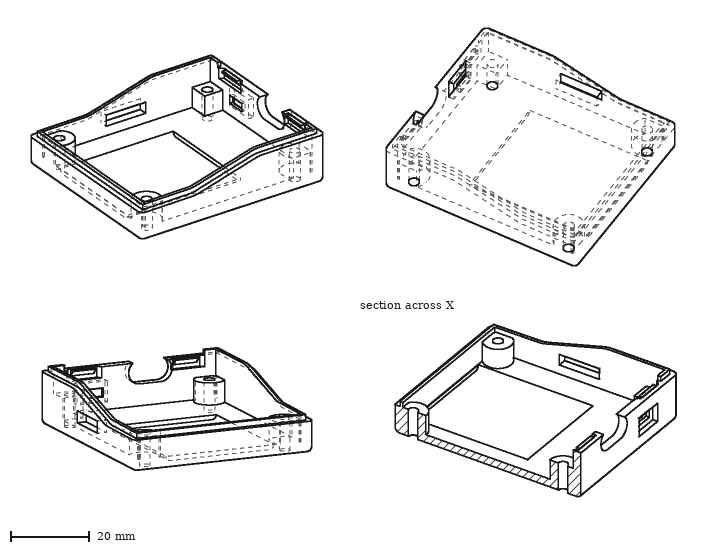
import cadquery as cq

width = 50.5
length = 56.9
back_rim_height = 13.8
lip_height = 1.4
edge_radius = 1.5

wall = 2.5
lip_inset = 1.55
floor_thickness = 2.5

front_rim_height = 8.25
slope_foot_height = 8.4
slope_top_y = 8.0
slope_foot_y = -11.5
bend_radius = 8.55

hole_diameter = 2.8
post_diameter = 8.0
post_top = 8.3
post_x = 19.6
post_y = 22.85
square_post_size = 5.65

bay_x_min = -15.0
bay_x_max = 15.2
bay_y_max = 9.15
bay_y_min = -25.75
bay_depth = 1.2

notch_x_left = 1.55
notch_x_right = 7.4
notch_radius = 3.1
notch_z = 11.4

pocket_bottom = 10.9
pocket_depth = 1.15
pocket_length = 8.1
pocket_flare = 0.9
catch_length = 6.5
catch_bottom = 12.0
catch_nose_z = 13.4
catch_top = 13.7
catch_chamfer = 0.2
catch_overhang = 0.15
left_catch_x = -14.1
right_catch_x = 14.75
lip_gap_left_x = -19.5
lip_gap_right_x = 19.75

back_window_x = -11.45
back_window_length = 5.4
back_window_bottom = 5.85
back_window_height = 2.35
back_window_web = 1.0
plug_recess_margin = 1.6
side_slot_y = -0.1
side_slot_length = 12.2
side_slot_bottom = 5.25
side_slot_height = 3.2

half_width = width / 2
half_length = length / 2
cavity_x = half_width - wall
cavity_y = half_length - wall


def box(x_min, x_max, y_min, y_max, z_min, z_max):
    """Axis-aligned box between two corners."""
    size = (x_max - x_min, y_max - y_min, z_max - z_min)
    return cq.Workplane("XY").box(*size, centered=False).translate((x_min, y_min, z_min))


def below_rim(raise_by):
    """Everything below the curved rim line, lifted by the given height."""
    profile = [
        (-half_length, 0),
        (half_length, 0),
        (half_length, back_rim_height + raise_by),
        (slope_top_y, back_rim_height + raise_by),
        (slope_foot_y, slope_foot_height + raise_by),
        (-half_length, front_rim_height + raise_by),
    ]
    solid = cq.Workplane("YZ").polyline(profile).close().extrude(half_width, both=True)
    margin = lip_height
    bends = cq.selectors.BoxSelector(
        (-width, slope_foot_y - margin, 0),
        (width, slope_top_y + margin, back_rim_height + raise_by + margin),
    )
    return solid.edges("|X").edges(bends).fillet(bend_radius)


def make_shell():
    """Rounded tray with a stepped lip, still without posts or openings."""
    full_height = back_rim_height + lip_height
    block = cq.Workplane("XY").rect(width, length).extrude(full_height)
    block = block.edges("|Z").fillet(edge_radius)
    block = block.faces("<Z").edges().fillet(edge_radius)
    outer = block.intersect(below_rim(0))

    lip_x = half_width - lip_inset
    lip_y = half_length - lip_inset
    lip = box(-lip_x, lip_x, -lip_y, lip_y, edge_radius, full_height)
    lip = lip.intersect(below_rim(lip_height))
    back_gap = box(
        lip_gap_left_x, lip_gap_right_x,
        cavity_y, half_length,
        back_rim_height, full_height,
    )

    cavity = box(-cavity_x, cavity_x, -cavity_y, cavity_y, floor_thickness, full_height)
    return outer.union(lip.cut(back_gap)).cut(cavity)


def make_posts():
    """Three round posts and a square one, trimmed to the inside of the tray."""
    round_centres = [(post_x, post_y), (post_x, -post_y), (-post_x, -post_y)]
    height = post_top - floor_thickness
    posts = cq.Workplane("XY", origin=(0, 0, floor_thickness)).pushPoints(round_centres)
    posts = posts.circle(post_diameter / 2).extrude(height)
    square = box(
        -cavity_x, square_post_size - cavity_x,
        cavity_y - square_post_size, cavity_y,
        floor_thickness, post_top,
    )
    inside = box(-cavity_x, cavity_x, -cavity_y, cavity_y, 0, post_top)
    return posts.union(square).intersect(inside)


def make_screw_holes():
    """Through holes on the post axes."""
    centres = [(x, y) for x in (-post_x, post_x) for y in (-post_y, post_y)]
    return cq.Workplane("XY").pushPoints(centres).circle(hole_diameter / 2).extrude(post_top)


def make_bay():
    """Floor recess whose two long sides curve down to the bottom."""
    bottom = floor_thickness - bay_depth
    bay = box(bay_x_min, bay_x_max, bay_y_min, bay_y_max, bottom, floor_thickness + bay_depth)
    return bay.edges("|Y and <Z").fillet(bay_depth)


def make_notch():
    """Round-ended cable notch, narrowing again where it meets the rim."""
    centre = ((notch_x_left + notch_x_right) / 2, notch_z)
    span = notch_x_right - notch_x_left + 2 * notch_radius
    notch = cq.Workplane("XZ", origin=(0, half_length, 0)).center(*centre)
    return notch.slot2D(span, 2 * notch_radius).extrude(wall)


def make_pocket(centre_x, left_flare):
    """Pocket in the inner face of the back wall, open at the rim."""
    half = pocket_length / 2
    outline = [
        (centre_x - half - left_flare, cavity_y),
        (centre_x - half, cavity_y + pocket_depth),
        (centre_x + half, cavity_y + pocket_depth),
        (centre_x + half + pocket_flare, cavity_y),
    ]
    pocket = cq.Workplane("XY", origin=(0, 0, pocket_bottom)).polyline(outline).close()
    return pocket.extrude(back_rim_height - pocket_bottom)


def make_catch(centre_x):
    """Wedge-shaped catch on the back of a pocket, with a sloped underside."""
    root_y = cavity_y + pocket_depth
    nose_y = cavity_y - catch_overhang
    profile = [
        (root_y, catch_bottom),
        (nose_y, catch_nose_z),
        (nose_y + catch_chamfer, catch_top),
        (root_y, catch_top),
    ]
    catch = cq.Workplane("YZ", origin=(centre_x, 0, 0)).polyline(profile).close()
    return catch.extrude(catch_length / 2, both=True)


def back_window_box(margin, y_min):
    """Block around the back window, widened by a margin and reaching the outer face."""
    half = back_window_length / 2 + margin
    z_min = back_window_bottom - margin
    z_max = back_window_bottom + back_window_height + margin
    return box(back_window_x - half, back_window_x + half, y_min, half_length, z_min, z_max)


back_window = back_window_box(0, cavity_y)
plug_recess = back_window_box(plug_recess_margin, cavity_y + back_window_web)
side_slot = box(
    -half_width, -cavity_x,
    side_slot_y - side_slot_length / 2, side_slot_y + side_slot_length / 2,
    side_slot_bottom, side_slot_bottom + side_slot_height,
)

result = make_shell().union(make_posts())
result = result.cut(make_screw_holes()).cut(make_bay())
result = result.cut(make_notch()).cut(side_slot).cut(back_window).cut(plug_recess)

for catch_x, left_flare in ((left_catch_x, pocket_flare), (right_catch_x, 0)):
    result = result.cut(make_pocket(catch_x, left_flare)).union(make_catch(catch_x))